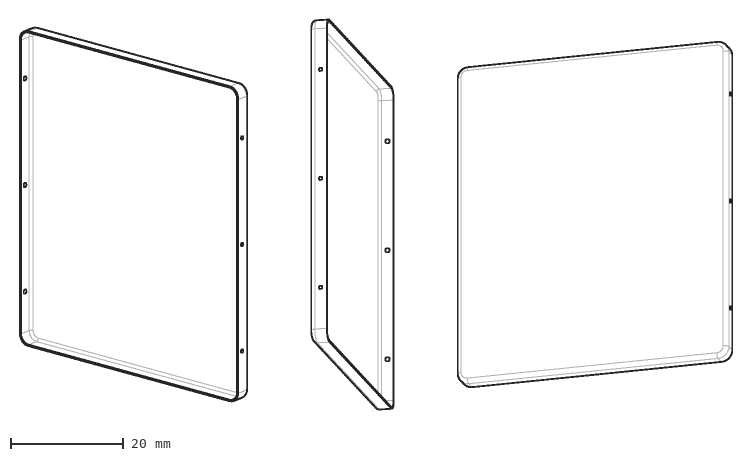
import cadquery as cq

width = 50.3
depth = 3.0
height = 59.1

wall = 0.3
corner_radius = 2.0
back_edge_radius = 0.8

dimple_radius = 0.3
bump_radius = 0.5
dimple_spacing = 20.0
dimple_count = 3
dimple_setback = 1.1

rim_y = -depth / 2
side_x = width / 2


def rounded_block(inset):
    """Block from the rim toward +Y, inset from the outer faces, rounded at its corners and back edge."""
    block = (
        cq.Workplane("XZ", origin=(0, rim_y, 0))
        .rect(width - 2 * inset, height - 2 * inset)
        .extrude(-(depth - inset))
    )
    block = block.edges("|Y").fillet(corner_radius - inset)
    return block.faces(">Y").edges().fillet(back_edge_radius - inset)


def dimple_centres():
    """Points on the outer faces of both side walls, evenly spaced along Z about the middle."""
    lowest_z = -(dimple_count - 1) / 2 * dimple_spacing
    return [
        cq.Vector(face_x, rim_y + dimple_setback, lowest_z + index * dimple_spacing)
        for face_x in (-side_x, side_x)
        for index in range(dimple_count)
    ]


def inward_dome(radius, centre):
    """Half ball centred on a side face and bulging toward the middle of the tray."""
    dome = cq.Solid.makeSphere(radius, angleDegrees1=-90, angleDegrees2=90, angleDegrees3=180)
    turn_about_z = -90 if centre.x < 0 else 90
    return dome.rotate(cq.Vector(0, 0, 0), cq.Vector(0, 0, 1), turn_about_z).translate(centre)


def add_dimples(tray):
    """Raise a bump inside each dimple centre, then hollow it from the outside."""
    for centre in dimple_centres():
        tray = tray.union(cq.Workplane(inward_dome(bump_radius, centre)))
        tray = tray.cut(cq.Workplane(inward_dome(dimple_radius, centre)))
    return tray


result = add_dimples(rounded_block(0).cut(rounded_block(wall)))